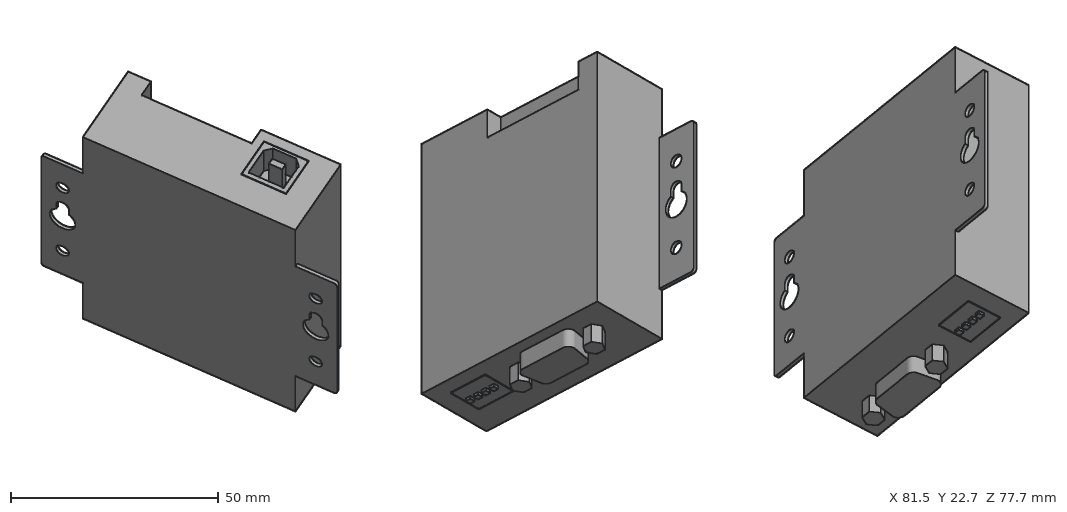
import cadquery as cq
import math

BODY_WIDTH = 58.6
BODY_DEPTH = 22.7
BODY_HEIGHT = 72.3
BODY_TOP = BODY_HEIGHT / 2
BODY_BOTTOM = -BODY_HEIGHT / 2

PLATE_WIDTH = 81.5
PLATE_HEIGHT = 43.7
PLATE_THICKNESS = 1.0
PLATE_CORNER_RADIUS = 1.0
PLATE_Z = -0.2
EAR_HOLE_X = 34.9
EAR_HOLE_SPACING = 25.0
EAR_HOLE_DIAMETER = 3.5
KEYHOLE_DIAMETER = 7.0
KEYHOLE_SLOT_WIDTH = 3.5
KEYHOLE_SLOT_RISE = 4.9

NOTCH_X = -7.8
NOTCH_WIDTH = 30.3
NOTCH_SETBACK = 4.7
NOTCH_DROP = 8.15

USB_X = 15.9
USB_WIDTH = 12.3
USB_DEPTH = 11.3
USB_RISE = 0.25
USB_BACK = BODY_DEPTH - 2.9
USB_OPENING_WIDTH = 9.7
USB_OPENING_DEPTH = 9.2
USB_OPENING_BACK = USB_BACK - 0.9
USB_OPENING_CHAMFER = 1.6
USB_CAVITY_DROP = 8.15
USB_TONGUE_WIDTH = 3.7
USB_TONGUE_THICKNESS = 1.7
USB_TONGUE_BACK = USB_OPENING_BACK - 2.8

DSUB_X = -7.9
DSUB_WIDTH = 17.3
DSUB_DEPTH = 9.1
DSUB_BACK = BODY_DEPTH - 3.35
DSUB_LENGTH = 5.1
DSUB_CORNER_RADIUS = 1.95
DSUB_SIDE_ANGLE = 10
JACK_POST_SPACING = 24.4
JACK_POST_ACROSS_FLATS = 4.8
JACK_POST_Y = BODY_DEPTH - 8.55

SWITCH_X = 18.0
SWITCH_WIDTH = 11.5
SWITCH_DEPTH = 9.9
SWITCH_FRONT = BODY_DEPTH - 14.3
SWITCH_RISE = 0.25
KNOB_COUNT = 4
KNOB_PITCH = 2.6
KNOB_WIDTH = 1.55
KNOB_RISE = 0.8


def block(width, depth, height, x, y_min, z_min):
    """Box centred on x that starts at y_min and z_min."""
    start = cq.Workplane("XY", origin=(x, y_min, z_min))
    return start.box(width, depth, height, centered=(True, False, False))


def enclosure():
    """Main box with the terminal notch cut into its top edge."""
    body = block(BODY_WIDTH, BODY_DEPTH, BODY_HEIGHT, 0, 0, BODY_BOTTOM)
    notch = block(
        NOTCH_WIDTH, NOTCH_SETBACK, NOTCH_DROP, NOTCH_X, BODY_DEPTH - NOTCH_SETBACK, BODY_TOP - NOTCH_DROP
    )
    return body.cut(notch)


def mounting_ears():
    """Plate whose two ends reach past the enclosure sides, each with two screw holes and a keyhole."""
    plate = block(PLATE_WIDTH, PLATE_THICKNESS, PLATE_HEIGHT, 0, 0, PLATE_Z - PLATE_HEIGHT / 2)
    plate = plate.edges("|Y").fillet(PLATE_CORNER_RADIUS)

    face = cq.Workplane("XZ", origin=(0, 0, PLATE_Z))
    for x in (-EAR_HOLE_X, EAR_HOLE_X):
        holes = (
            face.pushPoints([(x, -EAR_HOLE_SPACING / 2), (x, EAR_HOLE_SPACING / 2)])
            .circle(EAR_HOLE_DIAMETER / 2)
            .extrude(-PLATE_THICKNESS)
        )
        keyhole = face.center(x, 0).circle(KEYHOLE_DIAMETER / 2).extrude(-PLATE_THICKNESS)
        slot = (
            face.center(x, KEYHOLE_SLOT_RISE / 2)
            .slot2D(KEYHOLE_SLOT_RISE + KEYHOLE_SLOT_WIDTH, KEYHOLE_SLOT_WIDTH, 90)
            .extrude(-PLATE_THICKNESS)
        )
        plate = plate.cut(holes).cut(keyhole).cut(slot)
    return plate


def add_usb_socket(body):
    """Raised rim around a blind opening with two cut corners; the tongue inside is level with the rim."""
    rim = block(USB_WIDTH, USB_DEPTH, USB_RISE, USB_X, USB_BACK - USB_DEPTH, BODY_TOP)
    floor_z = BODY_TOP + USB_RISE - USB_CAVITY_DROP
    cavity = block(
        USB_OPENING_WIDTH,
        USB_OPENING_DEPTH,
        USB_CAVITY_DROP,
        USB_X,
        USB_OPENING_BACK - USB_OPENING_DEPTH,
        floor_z,
    )
    cavity = cavity.faces(">Y").edges("|Z").chamfer(USB_OPENING_CHAMFER)
    tongue = block(
        USB_TONGUE_WIDTH,
        USB_TONGUE_THICKNESS,
        USB_CAVITY_DROP,
        USB_X,
        USB_TONGUE_BACK - USB_TONGUE_THICKNESS,
        floor_z,
    )
    return body.union(rim).cut(cavity).union(tongue)


def dsub_connector():
    """D-shaped shell, wide side towards +Y, between two hexagonal jack posts."""
    side_angle = math.radians(DSUB_SIDE_ANGLE)
    corner_setback = DSUB_CORNER_RADIUS * math.tan((math.pi / 2 + side_angle) / 2)
    wide_half = DSUB_WIDTH / 2 - DSUB_CORNER_RADIUS + corner_setback
    narrow_half = wide_half - DSUB_DEPTH * math.tan(side_angle)
    bottom = cq.Workplane("XY", origin=(DSUB_X, 0, BODY_BOTTOM))
    shell = (
        bottom.moveTo(-wide_half, DSUB_BACK)
        .lineTo(wide_half, DSUB_BACK)
        .lineTo(narrow_half, DSUB_BACK - DSUB_DEPTH)
        .lineTo(-narrow_half, DSUB_BACK - DSUB_DEPTH)
        .close()
        .extrude(-DSUB_LENGTH)
        .edges("|Z")
        .fillet(DSUB_CORNER_RADIUS)
    )
    across_corners = JACK_POST_ACROSS_FLATS / math.cos(math.pi / 6)
    posts = (
        bottom.pushPoints([(-JACK_POST_SPACING / 2, JACK_POST_Y), (JACK_POST_SPACING / 2, JACK_POST_Y)])
        .polygon(6, across_corners)
        .extrude(-DSUB_LENGTH)
    )
    return shell, posts


def dip_switch():
    """Shallow base with a row of square knobs along its middle."""
    base_z = BODY_BOTTOM - SWITCH_RISE
    switch = block(SWITCH_WIDTH, SWITCH_DEPTH, SWITCH_RISE, SWITCH_X, SWITCH_FRONT, base_z)
    knob_front = SWITCH_FRONT + (SWITCH_DEPTH - KNOB_WIDTH) / 2
    for i in range(KNOB_COUNT):
        knob_x = SWITCH_X + (i - (KNOB_COUNT - 1) / 2) * KNOB_PITCH
        knob = block(KNOB_WIDTH, KNOB_WIDTH, KNOB_RISE, knob_x, knob_front, base_z - KNOB_RISE)
        switch = switch.union(knob)
    return switch


dsub_shell, jack_posts = dsub_connector()
result = enclosure().union(mounting_ears())
result = add_usb_socket(result)
result = result.union(dsub_shell).union(jack_posts).union(dip_switch())